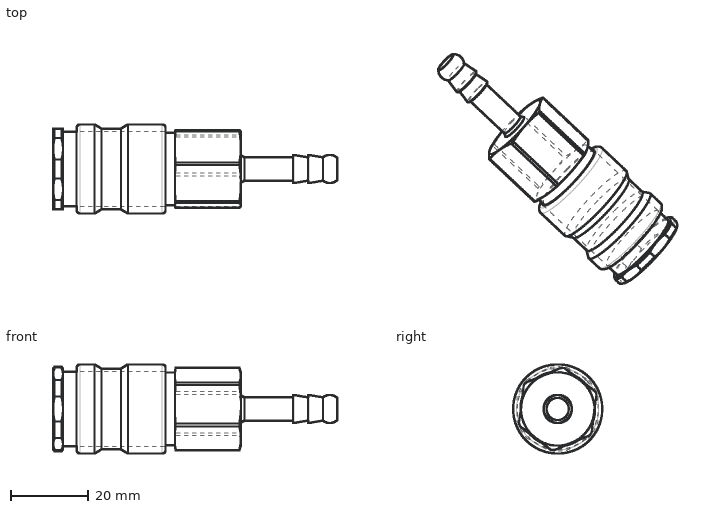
import cadquery as cq
import math


cap_end = 2.5
sleeve_start = 6.0
front_collar_end = 10.75
waist_start = 12.5
waist_end = 17.5
rear_collar_start = 19.35
sleeve_end = 29.15
nut_start = 31.5
nut_end = 48.65
barb_start = 62.1
barb_pitch = 3.9
part_length = 73.6

cap_across_flats = 21.0
cap_corner_diameter = 21.9
cap_chamfer_diameter = 21.0
cap_chamfer_length = 0.4
shaft_diameter = 19.4
neck_diameter = 18.9

nut_across_flats = 19.0
nut_corner_diameter = 21.5
nut_front_chamfer = 0.2
nut_rear_chamfer = 0.45
nut_turn = -7.3

tail_diameter = 6.1
tail_root_diameter = 7.1
tail_root_length = 0.9
barb_diameter = 7.35
barb_land = 0.2
barb_count = 2
tip_peak_offset = 1.5
tip_end_diameter = 5.75

sleeve_diameter = 23.2
waist_diameter = 21.0
sleeve_edge_radius = 0.95


def cylinder(diameter, start, end):
    """Round bar along X."""
    return cq.Workplane("YZ", origin=(start, 0, 0)).circle(diameter / 2).extrude(end - start)


def revolve_about_x(half_profile):
    """Turn a closed profile, drawn as (x, radius), around the X axis."""
    return half_profile.close().revolve(360, (0, 0, 0), (1, 0, 0))


def trimmed_hexagon(across_flats, start, end, corner_diameter, end_diameter, start_chamfer, end_chamfer, turn):
    """Hexagonal bar whose corners are turned down to a cylinder and chamfered at both ends."""
    across_corners = across_flats / math.cos(math.radians(30))
    hexagon = (
        cq.Workplane("YZ", origin=(start, 0, 0))
        .polygon(6, across_corners)
        .extrude(end - start)
        .rotate((0, 0, 0), (1, 0, 0), 30 + turn)
    )
    envelope = revolve_about_x(
        cq.Workplane("XY")
        .moveTo(start, 0)
        .lineTo(start, end_diameter / 2)
        .lineTo(start + start_chamfer, corner_diameter / 2)
        .lineTo(end - end_chamfer, corner_diameter / 2)
        .lineTo(end, end_diameter / 2)
        .lineTo(end, 0)
    )
    return hexagon.intersect(envelope)


def make_hose_tail():
    """Hose tail with a flared root, saw-tooth barbs and a rounded tip."""
    tail_radius = tail_diameter / 2
    barb_radius = barb_diameter / 2
    profile = (
        cq.Workplane("XY")
        .moveTo(nut_end, 0)
        .lineTo(nut_end, tail_root_diameter / 2)
        .lineTo(nut_end + tail_root_length, tail_radius)
        .lineTo(barb_start, tail_radius)
    )
    for i in range(barb_count):
        step = barb_start + i * barb_pitch
        profile = (
            profile.lineTo(step, barb_radius)
            .lineTo(step + barb_land, barb_radius)
            .lineTo(step + barb_pitch, tail_radius)
        )
    tip_start = barb_start + barb_count * barb_pitch
    profile = profile.threePointArc(
        (tip_start + tip_peak_offset, barb_radius),
        (part_length, tip_end_diameter / 2),
    ).lineTo(part_length, 0)
    return revolve_about_x(profile)


def make_core():
    cap = trimmed_hexagon(
        cap_across_flats, 0, cap_end, cap_corner_diameter, cap_chamfer_diameter,
        cap_chamfer_length, cap_chamfer_length, 0,
    )
    shaft = cylinder(shaft_diameter, cap_end, sleeve_end)
    neck = cylinder(neck_diameter, sleeve_end, nut_start)
    nut = trimmed_hexagon(
        nut_across_flats, nut_start, nut_end, nut_corner_diameter, nut_across_flats,
        nut_front_chamfer, nut_rear_chamfer, nut_turn,
    )
    return cap.union(shaft).union(neck).union(nut).union(make_hose_tail())


def make_sleeve():
    """Waisted sleeve with rounded outer ends and a bore that fits the shaft."""
    outer_radius = sleeve_diameter / 2
    waist_radius = waist_diameter / 2
    bore_radius = shaft_diameter / 2
    sleeve = revolve_about_x(
        cq.Workplane("XY")
        .moveTo(sleeve_start, bore_radius)
        .lineTo(sleeve_start, outer_radius)
        .lineTo(front_collar_end, outer_radius)
        .lineTo(waist_start, waist_radius)
        .lineTo(waist_end, waist_radius)
        .lineTo(rear_collar_start, outer_radius)
        .lineTo(sleeve_end, outer_radius)
        .lineTo(sleeve_end, bore_radius)
    )
    outer_end_edges = cq.selectors.RadiusNthSelector(-1)
    sleeve = sleeve.faces("<X").edges(outer_end_edges).fillet(sleeve_edge_radius)
    return sleeve.faces(">X").edges(outer_end_edges).fillet(sleeve_edge_radius)


core = make_core()
sleeve = make_sleeve()
result = cq.Compound.makeCompound([core.val(), sleeve.val()])